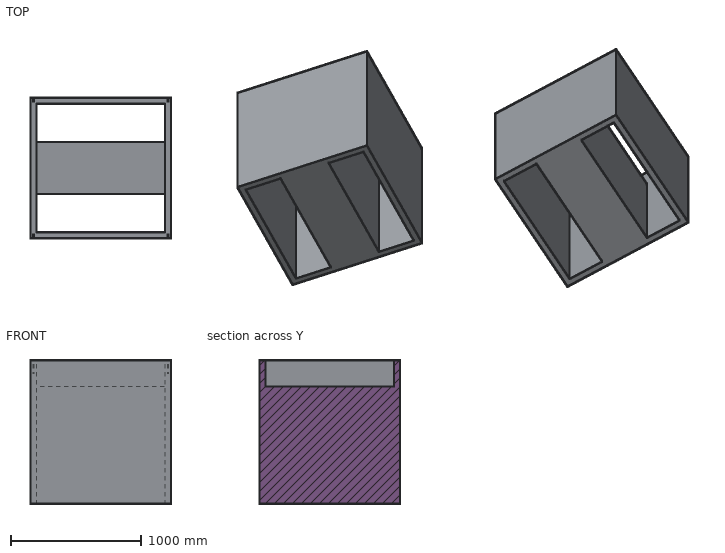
import cadquery as cq

side = 1080.0
height = 1100.0
wall = 50.0
inner_side = side - 2 * wall

base_height = 100.0

block_width = 400.0
block_depth = 200.0
block_top = height - block_depth

hole_diameter = 10.0
hole_depth = 100.0
hole_spacing = side - wall


def square_tube(bottom, tube_height):
    return (
        cq.Workplane("XY", origin=(0, 0, bottom))
        .rect(side, side)
        .rect(inner_side, inner_side)
        .extrude(tube_height)
    )


def central_block():
    return cq.Workplane("XY").box(inner_side, block_width, block_top, centered=(True, True, False))


def corner_holes():
    return (
        cq.Workplane("XY", origin=(0, 0, height - hole_depth))
        .rect(hole_spacing, hole_spacing, forConstruction=True)
        .vertices()
        .circle(hole_diameter / 2)
        .extrude(hole_depth)
    )


base = square_tube(0, base_height)
walls = square_tube(base_height, height - base_height)

result = base.union(walls, clean=False)
result = result.union(central_block(), clean=False)
result = result.cut(corner_holes(), clean=False)